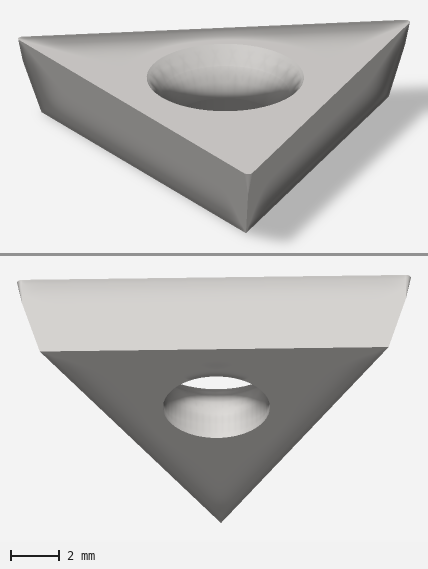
import cadquery as cq
import math

inscribed_diameter = 9.525
thickness = 3.18
nose_radius = 0.2
relief_angle = 11.0

hole_diameter = 4.4
mouth_diameter = 6.47
throat_round_radius = 2.0
mouth_half_angle = 39.0

CORNER_COUNT = 3
CORNER_SPACING = 360 / CORNER_COUNT
FIRST_CORNER_ANGLE = 90.0
TANGENT_ANGLE = CORNER_SPACING / 2

relief_slope = math.tan(math.radians(relief_angle))
top_inradius = inscribed_diameter / 2
nose_depth = nose_radius / relief_slope
nose_center_distance = 2 * (top_inradius - nose_radius)


def polar_point(distance, angle, center=(0.0, 0.0)):
    """Point at a distance and an angle in degrees from a center in the XY plane."""
    radians = math.radians(angle)
    return (center[0] + distance * math.cos(radians), center[1] + distance * math.sin(radians))


def triangle_corners(inradius):
    """Sharp corners of the equilateral triangle around a circle of the given radius."""
    return [
        polar_point(2 * inradius, FIRST_CORNER_ANGLE + index * CORNER_SPACING)
        for index in range(CORNER_COUNT)
    ]


def make_sharp_body():
    """Triangular frustum with sharp corners, bottom face at Z = 0."""
    return (
        cq.Workplane("XY")
        .workplane(offset=thickness)
        .polyline(triangle_corners(top_inradius)).close()
        .extrude(-thickness, taper=relief_angle)
    )


def polygon_face(points):
    """Flat face bounded by straight edges through the points."""
    return cq.Face.makeFromWires(cq.Wire.makePolygon(points, close=True))


def make_corner_waste():
    """Material outside the conical nose of the first corner, ending where the nose shrinks to a point."""
    nose_center = polar_point(nose_center_distance, FIRST_CORNER_ANGLE)
    sharp_corner = polar_point(2 * top_inradius, FIRST_CORNER_ANGLE)
    right_tangent = polar_point(nose_radius, FIRST_CORNER_ANGLE - TANGENT_ANGLE, nose_center)
    left_tangent = polar_point(nose_radius, FIRST_CORNER_ANGLE + TANGENT_ANGLE, nose_center)
    apex = cq.Vector(*nose_center, thickness - nose_depth)

    kite = (nose_center, right_tangent, sharp_corner, left_tangent)
    base = [cq.Vector(*point, thickness) for point in kite]
    faces = [polygon_face(base)]
    for index, corner in enumerate(base):
        faces.append(polygon_face([base[index - 1], corner, apex]))
    pyramid = cq.Solid.makeSolid(cq.Shell.makeShell(faces))

    nose_cone = cq.Solid.makeCone(0, nose_radius, nose_depth, apex)
    return cq.Workplane(pyramid).cut(cq.Workplane(nose_cone))


def make_screw_hole():
    """Revolved cutter for the through hole with its conical mouth and rounded throat."""
    bore_radius = hole_diameter / 2
    mouth_radius = mouth_diameter / 2
    half_angle = math.radians(mouth_half_angle)
    throat_radius = bore_radius + throat_round_radius * (1 - math.cos(half_angle))
    mouth_depth = (mouth_radius - throat_radius) / math.tan(half_angle)
    throat_z = thickness - mouth_depth
    bore_z = throat_z - throat_round_radius * math.sin(half_angle)
    mid_angle = half_angle / 2
    round_middle = (
        bore_radius + throat_round_radius * (1 - math.cos(mid_angle)),
        bore_z + throat_round_radius * math.sin(mid_angle),
    )
    return (
        cq.Workplane("XZ")
        .moveTo(0, 0)
        .lineTo(bore_radius, 0)
        .lineTo(bore_radius, bore_z)
        .threePointArc(round_middle, (throat_radius, throat_z))
        .lineTo(mouth_radius, thickness)
        .lineTo(0, thickness)
        .close()
        .revolve(360, (0, 0, 0), (0, 1, 0))
    )


body = make_sharp_body()
corner_waste = make_corner_waste()
for index in range(CORNER_COUNT):
    body = body.cut(corner_waste.rotate((0, 0, 0), (0, 0, 1), index * CORNER_SPACING))
result = body.cut(make_screw_hole()).solids()